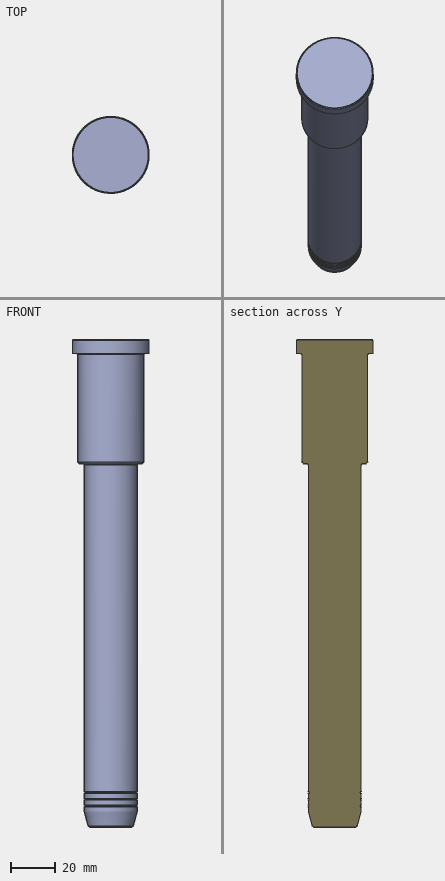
import cadquery as cq
import math

total_length = 221.0
head_diameter = 35.0
head_thickness = 6.5
head_chamfer = 0.5
collar_diameter = 30.0
collar_length = 50.0
collar_chamfer = 0.9
shaft_diameter = 24.0

flare_size = 0.5

taper_length = 7.0
taper_angle = 15.0
tip_chamfer = 0.7

groove_count = 3
groove_width = 0.9
groove_depth = 0.5
groove_span = 6.0
first_groove_height = 9.7

groove_pitch = groove_span / (groove_count - 1)
head_bottom = total_length - head_thickness
collar_bottom = head_bottom - collar_length
tip_diameter = shaft_diameter - 2 * taper_length * math.tan(math.radians(taper_angle))


def cylinder(diameter, bottom, top):
    return cq.Workplane("XY").workplane(offset=bottom).circle(diameter / 2).extrude(top - bottom)


def root_flare(diameter, top):
    """Small cone that widens a cylinder where it meets the shoulder above."""
    return (
        cq.Workplane("XY")
        .workplane(offset=top - flare_size)
        .circle(diameter / 2)
        .workplane(offset=flare_size)
        .circle(diameter / 2 + flare_size)
        .loft(ruled=True)
    )


def vee_ring(centre_height):
    """Ring of triangular section that cuts one V-shaped oil groove into the shaft."""
    shaft_radius = shaft_diameter / 2
    half_width = groove_width / 2
    return (
        cq.Workplane("XZ")
        .moveTo(shaft_radius, centre_height - half_width)
        .lineTo(shaft_radius, centre_height + half_width)
        .lineTo(shaft_radius - groove_depth, centre_height)
        .close()
        .revolve(360, (0, 0, 0), (0, 1, 0))
    )


def make_head():
    return cylinder(head_diameter, head_bottom, total_length).faces(">Z").edges().chamfer(head_chamfer)


def make_collar():
    collar = cylinder(collar_diameter, collar_bottom, head_bottom)
    collar = collar.faces("<Z").edges().chamfer(collar_chamfer)
    return collar.union(root_flare(collar_diameter, head_bottom))


def make_shaft():
    shaft = cylinder(shaft_diameter, taper_length, collar_bottom)
    shaft = shaft.union(root_flare(shaft_diameter, collar_bottom))
    tip = (
        cq.Workplane("XY")
        .circle(tip_diameter / 2)
        .workplane(offset=taper_length)
        .circle(shaft_diameter / 2)
        .loft(ruled=True)
        .faces("<Z")
        .edges()
        .chamfer(tip_chamfer)
    )
    for index in range(groove_count):
        shaft = shaft.cut(vee_ring(first_groove_height + index * groove_pitch))
    return shaft.union(tip)


result = make_head().union(make_collar()).union(make_shaft())